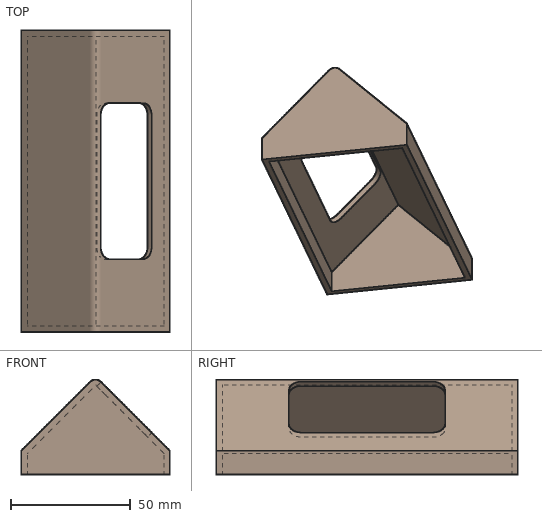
import cadquery as cq
import math

length = 126.0
width = 62.0
height = 39.7
ridge_radius = 3.2
wall = 2.5

window_length = 65.1
window_lower_x = 23.4
window_upper_x = ridge_radius / math.sqrt(2)
window_corner_radius = 5.0

apex_z = height + ridge_radius * (math.sqrt(2) - 1)


def gable_prism(half_width, sharp_top, prism_length):
    """Prism along Y, centred on the origin, with vertical sides and 45 degree slopes."""
    eave_z = sharp_top - half_width
    return (
        cq.Workplane("XZ")
        .moveTo(-half_width, 0)
        .lineTo(half_width, 0)
        .lineTo(half_width, eave_z)
        .lineTo(0, sharp_top)
        .lineTo(-half_width, eave_z)
        .close()
        .extrude(prism_length / 2, both=True)
    )


def outer_body():
    body = gable_prism(width / 2, apex_z, length)
    return body.edges("|Y and >Z").fillet(ridge_radius)


def cavity():
    inner_apex_z = apex_z - wall * math.sqrt(2)
    return gable_prism(width / 2 - wall, inner_apex_z, length - 2 * wall)


def window():
    centre_x = (window_lower_x + window_upper_x) / 2
    slope_height = (window_lower_x - window_upper_x) * math.sqrt(2)
    slope_plane = cq.Plane(
        origin=(centre_x, 0, apex_z - centre_x),
        xDir=(0, 1, 0),
        normal=(1, 0, 1),
    )
    return (
        cq.Workplane(slope_plane)
        .rect(window_length, slope_height)
        .extrude(wall, both=True)
        .edges(cq.selectors.ParallelDirSelector(cq.Vector(1, 0, 1)))
        .fillet(window_corner_radius)
    )


result = outer_body().cut(cavity()).cut(window())